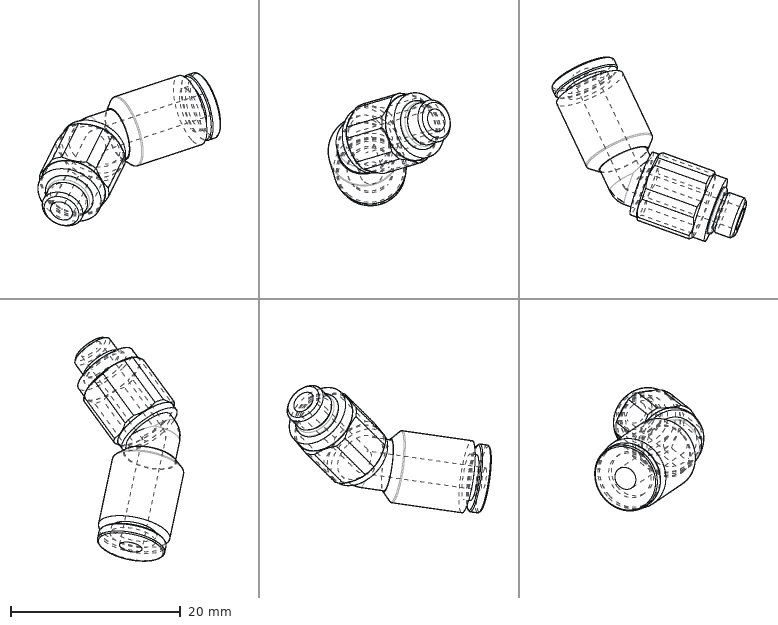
import cadquery as cq
import math

thread_radius = 2.5
thread_bevel = 0.37
thread_end = 2.25
neck_radius = 2.2
neck_y = 2.62
seal_radius = 2.93
seal_lower_radius = 2.62
collar_start = 3.07
lower_collar_radius = 3.9
upper_collar_radius = 3.95
hex_start = 4.6
hex_end = 11.58
upper_collar_end = 12.4
hex_across_flats = 8.0
hex_corner_radius = 4.28
hex_bevel_length = 0.26
hex_bevel_depth = 0.32

bend_y = 13.45
bend_angle = 45
pipe_radius = 3.05
bore_radius = 1.35

body_diameter = 8.6
body_radius = body_diameter / 2
shoulder_radius = 3.17
shoulder_start = 2.8
shoulder_end = 3.89
shoulder_rounding = 0.2
body_end = 12.42
stem_radius = 2.72
flange_start = 13.22
flange_end = 14.45
flange_radius = 4.05
flange_bevel = 0.15


def turned(points):
    """Revolve a (radius, length) outline around the Y axis."""
    start, end = points[0][1], points[-1][1]
    outline = [(0, start)] + points + [(0, end)]
    return cq.Workplane("XY").polyline(outline).close().revolve(360, (0, 0, 0), (0, 1, 0))


def rod(radius, start, end):
    return turned([(radius, start), (radius, end)])


def tilted(shape):
    """Move a shape built along Y onto the tilted leg."""
    return shape.rotate((0, 0, 0), (0, 0, 1), -bend_angle).translate((0, bend_y, 0))


def threaded_end():
    spigot = turned([
        (thread_radius - thread_bevel, 0),
        (thread_radius, thread_bevel),
        (thread_radius, thread_end),
        (neck_radius, neck_y),
        (neck_radius, collar_start),
    ])
    edge_drop = seal_radius - seal_lower_radius
    arc_middle = (
        seal_lower_radius + edge_drop * math.sin(math.radians(45)),
        neck_y + edge_drop * (1 - math.cos(math.radians(45))),
    )
    seal = (
        cq.Workplane("XY")
        .moveTo(0, neck_y)
        .lineTo(seal_lower_radius, neck_y)
        .threePointArc(arc_middle, (seal_radius, neck_y + edge_drop))
        .lineTo(seal_radius, collar_start)
        .lineTo(0, collar_start)
        .close()
        .revolve(360, (0, 0, 0), (0, 1, 0))
    )
    return spigot.union(seal)


def hex_nut():
    corner_diameter = hex_across_flats / math.cos(math.radians(30))
    prism = (
        cq.Workplane("XZ", origin=(0, hex_end, 0))
        .polygon(6, corner_diameter)
        .extrude(hex_end - hex_start)
    )
    end_radius = hex_corner_radius - hex_bevel_depth
    envelope = turned([
        (end_radius, hex_start),
        (hex_corner_radius, hex_start + hex_bevel_length),
        (hex_corner_radius, hex_end - hex_bevel_length),
        (end_radius, hex_end),
    ])
    return (
        prism.intersect(envelope)
        .union(rod(lower_collar_radius, collar_start, hex_start))
        .union(rod(upper_collar_radius, hex_end, upper_collar_end))
    )


def bent_rod(radius, start, end):
    """Round rod from start on the straight leg to end on the tilted leg, with a ball-shaped bend."""
    bend = (
        cq.Workplane("XZ")
        .moveTo(0, radius)
        .threePointArc((-radius, 0), (0, -radius))
        .close()
        .revolve(bend_angle, (0, 0, 0), (0, -1, 0))
        .translate((0, bend_y, 0))
    )
    return rod(radius, start, bend_y).union(tilted(rod(radius, 0, end))).union(bend)


def tube_socket():
    body = turned([
        (shoulder_radius, shoulder_start),
        (body_radius, shoulder_end),
        (body_radius, body_end),
    ])
    body = body.edges(cq.NearestToPointSelector((0, shoulder_end, 0))).fillet(shoulder_rounding)
    sleeve = rod(stem_radius, body_end, flange_start)
    flange = rod(flange_radius, flange_start, flange_end).faces("<Y or >Y").edges().chamfer(flange_bevel)
    return tilted(body.union(sleeve).union(flange))


elbow = bent_rod(pipe_radius, upper_collar_end, shoulder_start)
flow_bore = bent_rod(bore_radius, 0, flange_end)
result = threaded_end().union(hex_nut()).union(elbow).union(tube_socket()).cut(flow_bore)